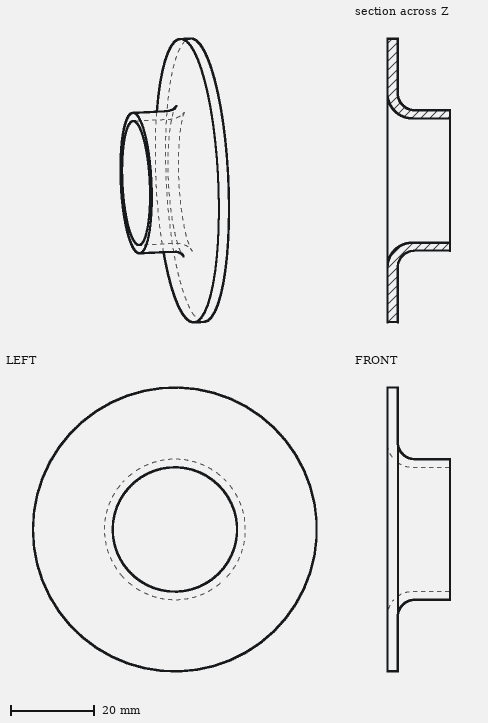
import cadquery as cq

flange_diameter = 68.0
flange_thickness = 2.5
bore_diameter = 29.7
collar_diameter = 33.7
total_length = 15.0
inlet_radius = 6.0
neck_radius = 4.0

flange_r = flange_diameter / 2
bore_r = bore_diameter / 2
collar_r = collar_diameter / 2

half_section = (
    cq.Workplane("XY")
    .moveTo(0, flange_r)
    .lineTo(flange_thickness, flange_r)
    .lineTo(flange_thickness, collar_r + neck_radius)
    .tangentArcPoint((flange_thickness + neck_radius, collar_r), relative=False)
    .lineTo(total_length, collar_r)
    .lineTo(total_length, bore_r)
    .lineTo(inlet_radius, bore_r)
    .tangentArcPoint((0, bore_r + inlet_radius), relative=False)
    .close()
)

result = half_section.revolve(360, (0, 0, 0), (1, 0, 0))